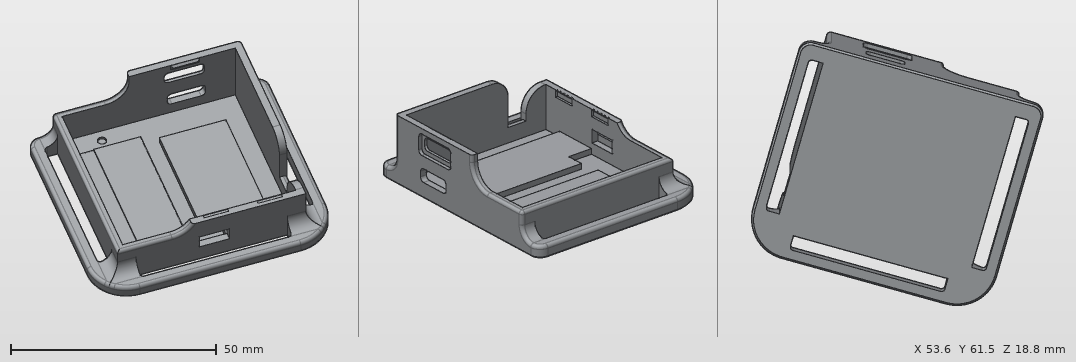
import cadquery as cq
plate_length_x = 53.6
plate_length_y = 61.5
plate_height = 3.5
loop_width = 2.95
wide_corner_radius = 10.0
edge_round = 1.0
rim_round = 0.85
bottom_chamfer = 0.5

slot_gap = plate_height
case_front = loop_width + slot_gap
case_back = plate_length_y - case_front
case_right = 47.35
wall = 1.95
side_wall = 1.85
floor_height = 1.35
left_height = 18.75
right_height = 13.5
front_height = 10.7

flare_radius = slot_gap
flare_top = plate_height + flare_radius

step_y = 25.65
step_radius = 6.0
step_arc_z = front_height + step_radius
right_step_drop = right_height - front_height
right_step_run = (step_radius**2 - (step_radius - right_step_drop) ** 2) ** 0.5

slot_left = 4.1
slot_right = 43.05
slot_margin_y = 11.25
slot_corner_radius = 0.85

notch_left = 33.7
notch_width = 5.6
notch_floor = 5.55
notch_left_radius = 5.0
notch_right_radius = 6.0

port_y = 39.9
port_z = 14.4
port_length = 10.3
port_height = 3.5
port_corner_radius = 1.1
recess_length = 12.3
recess_height = 5.8
recess_depth = 1.05
lower_port_y = 40.45
lower_port_z = 6.3
lower_port_length = 9.8
lower_port_height = 3.7
right_window_back = 35.35
right_window_length = 7.8
right_window_height = 3.7

snap_depth = 0.6
snap_height = 1.35
snap_slope = 0.5
snap_drop = 0.75
snap_y = 40.1
snap_length = 7.5
groove_depth = 0.7
groove_height = 1.8
groove_length = 6.35
groove_back_ends = (49.45, 35.55)
groove_drop = 0.25

rear_pad_left = 9.85
rear_pad_front = 30.6
rear_pad_back = 47.8
rear_pad_height = 1.55
rear_pad_notch_x = 38.4
rear_pad_notch_y = 35.5
front_pad_left = 7.25
front_pad_right = 40.45
front_pad_back = 26.75
front_pad_step = 14.65
front_pad_height = 0.6
front_pad_low_height = 0.3
hole_diameter = 2.2
hole_y = 17.65
hole_xs = (4.8, 42.55)
hole_depth = 0.6

cavity_left = side_wall
cavity_right = case_right - side_wall
cavity_front = case_front + wall
cavity_back = case_back - wall
middle_x = case_right / 2

tolerance = 0.05


def block(x0, x1, y0, y1, z0, z1):
    return cq.Workplane("XY").box(x1 - x0, y1 - y0, z1 - z0, centered=False).translate((x0, y0, z0))


def along_x(start_x):
    """Workplane with local axes Y, Z that extrudes toward +X."""
    return cq.Workplane("YZ", origin=(start_x, 0, 0))


def along_y(start_y):
    """Workplane with local axes X, Z that extrudes toward -Y."""
    return cq.Workplane("XZ", origin=(0, start_y, 0))


def plan_body():
    body = block(0, plate_length_x, 0, plate_length_y, 0, left_height)
    body = body.edges("|Z and <X").fillet(loop_width)
    return body.edges("|Z and >X").fillet(wide_corner_radius)


def side_profile():
    """Outline seen along X: plate, flares, low front and tall back."""
    r = flare_radius
    return (
        along_x(0)
        .moveTo(0, 0)
        .lineTo(0, plate_height)
        .lineTo(case_front - r, plate_height)
        .radiusArc((case_front, flare_top), -r)
        .lineTo(case_front, front_height)
        .lineTo(step_y - step_radius, front_height)
        .radiusArc((step_y, step_arc_z), -step_radius)
        .lineTo(step_y, left_height)
        .lineTo(case_back, left_height)
        .lineTo(case_back, flare_top)
        .radiusArc((case_back + r, plate_height), -r)
        .lineTo(plate_length_y, plate_height)
        .lineTo(plate_length_y, 0)
        .close()
        .extrude(plate_length_x)
    )


def front_profile():
    """Outline seen along Y: flush left side, flare on the right."""
    return (
        along_y(plate_length_y)
        .moveTo(0, 0)
        .lineTo(0, left_height)
        .lineTo(case_right, left_height)
        .lineTo(case_right, flare_top)
        .radiusArc((case_right + flare_radius, plate_height), -flare_radius)
        .lineTo(plate_length_x, plate_height)
        .lineTo(plate_length_x, 0)
        .close()
        .extrude(plate_length_y)
    )


def right_wall_relief():
    """Material above the lower right wall and its step."""
    top = block(notch_left, case_right, case_front, case_back, right_height, left_height)
    step = (
        along_x(middle_x)
        .moveTo(step_y - right_step_run, front_height)
        .radiusArc((step_y, right_height), -step_radius)
        .lineTo(step_y, left_height)
        .lineTo(case_front, left_height)
        .lineTo(case_front, front_height)
        .close()
        .extrude(case_right - middle_x)
    )
    return top.union(step)


def near(x_range, y_range, z_range):
    """Selector for edges centred inside a box."""
    (x0, x1), (y0, y1), (z0, z1) = x_range, y_range, z_range
    return cq.selectors.BoxSelector(
        (x0 - tolerance, y0 - tolerance, z0 - tolerance),
        (x1 + tolerance, y1 + tolerance, z1 + tolerance),
    )


def round_rim(body):
    """Round the low front rim and the steps that rise from it on both side walls."""
    side_y = (case_front, step_y)
    left_rim = near((0, 0), side_y, (front_height, left_height - 0.6))
    right_rim = near((case_right, case_right), (case_front, step_y - 0.6), (front_height, right_height))
    front_rim = near((0, case_right), (case_front, case_front), (front_height, front_height))
    return body.edges(left_rim + right_rim + front_rim).fillet(rim_round)


def round_outer_edges(body):
    """Round the vertical edges and flares of the flush left face and the plate's top edge."""
    full_y = (0, plate_length_y)
    top_z = (plate_height, plate_height)
    margin = loop_width / 2
    front_of_case = near((0, 0), (0, case_front), (plate_height, front_height))
    back_of_case = near((0, 0), (case_back, plate_length_y), (plate_height, left_height))
    plate_front = near((margin / 2, plate_length_x), (0, margin), top_z)
    plate_back = near((margin / 2, plate_length_x), (plate_length_y - margin, plate_length_y), top_z)
    plate_right = near((plate_length_x - margin, plate_length_x), full_y, top_z)
    selected = front_of_case + back_of_case + plate_front + plate_back + plate_right
    return body.edges(selected).fillet(edge_round)


def strap_slots():
    """Slots between the case and the front, back and right loops."""
    front, back = slot_margin_y, plate_length_y - slot_margin_y
    top = left_height
    loop_right = case_right + slot_gap
    front_slot = block(slot_left, slot_right, loop_width, case_front, 0, top)
    back_slot = block(slot_left, slot_right, case_back, plate_length_y - loop_width, 0, top)
    right_slot = block(case_right, loop_right, front, back, 0, top)
    front_slot = front_slot.edges("|Z and <Y").fillet(slot_corner_radius)
    back_slot = back_slot.edges("|Z and >Y").fillet(slot_corner_radius)
    right_slot = right_slot.edges("|Z and >X").fillet(slot_corner_radius)
    return front_slot.union(back_slot).union(right_slot)


def cavity():
    return block(cavity_left, cavity_right, cavity_front, cavity_back, floor_height, left_height)


def back_wall_notch():
    """Notch through the back wall with a rounded shoulder on each side."""
    right = notch_left + notch_width
    left_r, right_r = notch_left_radius, notch_right_radius
    return (
        along_y(case_back)
        .moveTo(notch_left, notch_floor)
        .lineTo(notch_left, left_height - left_r)
        .radiusArc((notch_left - left_r, left_height), -left_r)
        .lineTo(right + right_r, left_height)
        .lineTo(right + right_r, right_height)
        .radiusArc((right, right_height - right_r), -right_r)
        .lineTo(right, notch_floor)
        .close()
        .extrude(wall)
    )


def round_notch_floor(body):
    notch_x = (notch_left, notch_left + notch_width)
    edge = near(notch_x, (case_back, case_back), (notch_floor, notch_floor))
    return body.edges(edge).fillet(edge_round)


def wall_opening(depth, y, z, length, height):
    """Rounded rectangular opening cut into the left wall toward +X."""
    opening = block(0, depth, y - length / 2, y + length / 2, z - height / 2, z + height / 2)
    return opening.edges("|X").fillet(port_corner_radius)


def left_wall_ports():
    through = wall_opening(side_wall, port_y, port_z, port_length, port_height)
    recess = wall_opening(recess_depth, port_y, port_z, recess_length, recess_height)
    lower = wall_opening(side_wall, lower_port_y, lower_port_z, lower_port_length, lower_port_height)
    return through.union(recess).union(lower)


def right_wall_window():
    z0 = lower_port_z - right_window_height / 2
    return block(
        cavity_right,
        case_right,
        right_window_back - right_window_length,
        right_window_back,
        z0,
        z0 + right_window_height,
    )


def lid_snap_bar():
    """Bar with sloping flanks on the inside of the left wall."""
    return (
        along_x(cavity_left)
        .center(snap_y, left_height - snap_drop)
        .rect(snap_length, snap_height)
        .workplane(offset=snap_depth)
        .rect(snap_length - 2 * snap_slope, snap_height - 2 * snap_slope)
        .loft(ruled=True)
    )


def lid_snap_groove(back_end):
    """Groove on the inside of the right wall, just below its top."""
    top = right_height - groove_drop
    return block(
        cavity_right,
        cavity_right + groove_depth,
        back_end - groove_length,
        back_end,
        top - groove_height,
        top,
    )


def floor_pad(x0, x1, y0, y1, height):
    return block(x0, x1, y0, y1, floor_height, floor_height + height)


def floor_pads():
    """Notched rear pad and a two-level front pad."""
    rear = floor_pad(rear_pad_left, cavity_right, rear_pad_front, rear_pad_back, rear_pad_height)
    corner = floor_pad(rear_pad_notch_x, cavity_right, rear_pad_front, rear_pad_notch_y, rear_pad_height)
    front = floor_pad(front_pad_left, front_pad_right, front_pad_step, front_pad_back, front_pad_height)
    front_low = floor_pad(
        front_pad_left, front_pad_right, cavity_front, front_pad_step, front_pad_low_height
    )
    return rear.cut(corner).union(front).union(front_low)


def floor_holes():
    points = [(x, hole_y) for x in hole_xs]
    return (
        cq.Workplane("XY", origin=(0, 0, floor_height - hole_depth))
        .pushPoints(points)
        .circle(hole_diameter / 2)
        .extrude(hole_depth)
    )


outer = plan_body().intersect(side_profile()).intersect(front_profile()).cut(right_wall_relief())
outer = round_rim(round_outer_edges(outer)).faces("<Z").chamfer(bottom_chamfer)

shell = outer.cut(strap_slots()).cut(cavity()).cut(back_wall_notch())
shell = round_notch_floor(shell)
shell = shell.cut(left_wall_ports()).cut(right_wall_window())
for groove_back_end in groove_back_ends:
    shell = shell.cut(lid_snap_groove(groove_back_end))

result = shell.union(lid_snap_bar()).union(floor_pads()).cut(floor_holes())